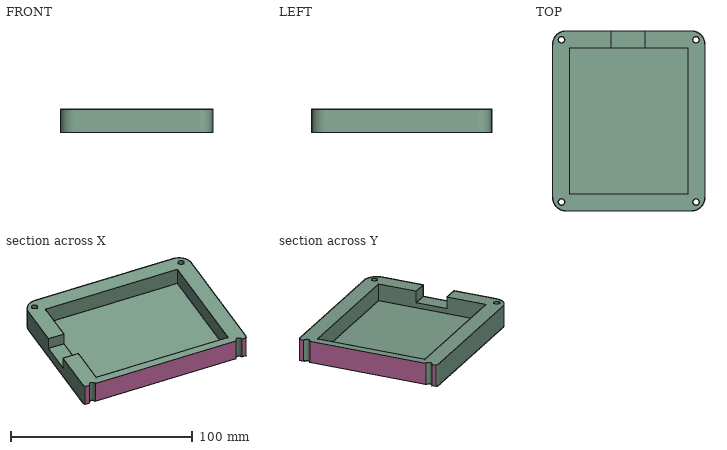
import cadquery as cq

width = 84.1
length = 99.4
height = 13.0
corner_radius = 7.6

wall = 9.4
floor_thickness = 3.0
pocket_width = width - 2 * wall
pocket_length = length - 2 * wall

notch_width = 18.6
notch_depth = 7.0
notch_left_offset = 32.3

hole_diameter = 3.4
hole_inset = 5.0


def make_body():
    """Flat block with rounded vertical corners, standing on Z = 0."""
    block = cq.Workplane("XY").box(width, length, height, centered=(True, True, False))
    return block.edges("|Z").fillet(corner_radius)


def cut_pocket(body):
    """Sink the main pocket down to the floor."""
    return body.faces(">Z").workplane(origin=(0, 0, height)).rect(
        pocket_width, pocket_length
    ).cutBlind(floor_thickness - height)


def cut_notch(body):
    """Open the top of the rear wall between the pocket and the outside."""
    notch = cq.Workplane("XY").box(notch_width, wall, notch_depth, centered=False)
    left = notch_left_offset - width / 2
    rear_wall_start = pocket_length / 2
    return body.cut(notch.translate((left, rear_wall_start, height - notch_depth)))


def cut_corner_holes(body):
    """Drill one through hole at each corner."""
    holes = (
        cq.Workplane("XY")
        .rect(width - 2 * hole_inset, length - 2 * hole_inset, forConstruction=True)
        .vertices()
        .circle(hole_diameter / 2)
        .extrude(height)
    )
    return body.cut(holes)


result = cut_corner_holes(cut_notch(cut_pocket(make_body())))